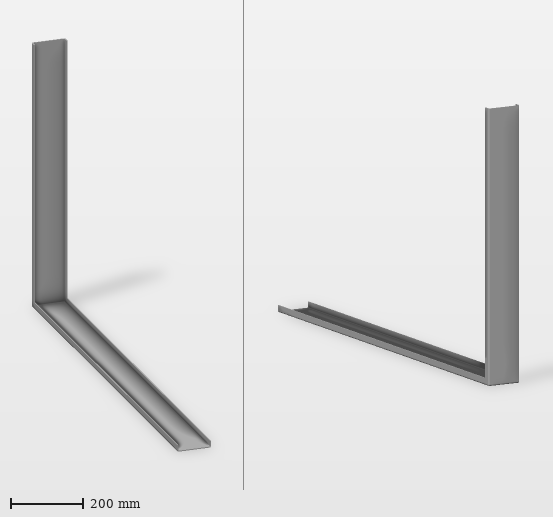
import cadquery as cq

length = 1185.0
height = 787.0
width = 100.0
flange_depth = 20.0
sheet = 3.0
outer_bend_radius = 5.0
inner_bend_radius = outer_bend_radius - sheet


def rounded_block(offset, size_y, bend_radius):
    """Block whose lower-left faces lie at offset, rounded along all folds."""
    block = cq.Workplane("XY").box(
        length - offset, size_y, height - offset, centered=(False, True, False)
    ).translate((offset, 0, offset))
    web_edges = block.faces("<X or <Z").edges("not(>X or >Z)")
    return web_edges.fillet(bend_radius)


def flange_opening():
    """Space beyond the flange lips, inside the corner of the L."""
    return cq.Workplane("XY").box(
        length, width, height, centered=(False, True, False)
    ).translate((flange_depth, 0, flange_depth))


outside = rounded_block(0, width, outer_bend_radius)
cavity = rounded_block(sheet, width - 2 * sheet, inner_bend_radius)
result = outside.cut(cavity).cut(flange_opening())